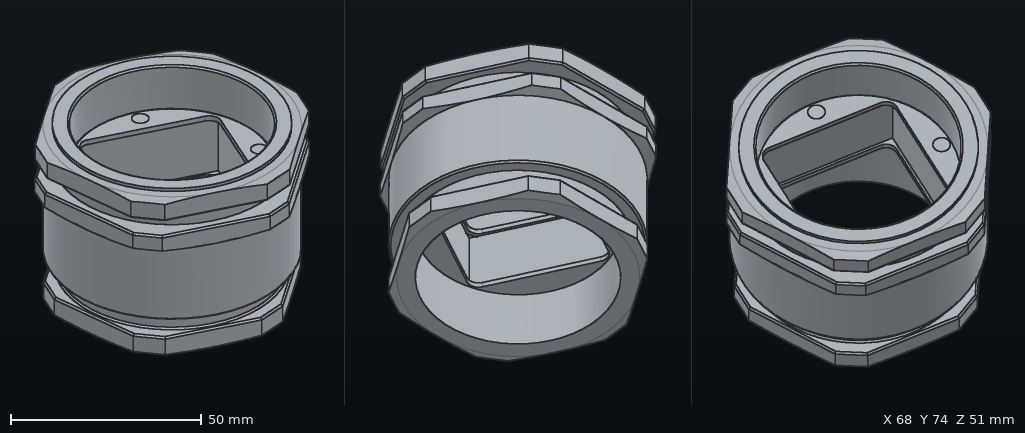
import cadquery as cq
import math


edge_chamfer = 0.5
bore_radius = 27.0
socket_radius = 30.5
pocket_radius = 27.5

cap_across_flats = 64.0
cap_corner_width = 69.0
cap_hex_height = 6.0
cap_cone_drop = 0.5

body_across_flats = 68.0
flange_corner_width = 74.0
sleeve_radius = body_across_flats / 2
sleeve_bottom = 11.0
flange_bottom = 34.0
flange_top = 39.5
flange_cone_drop = 0.9
pocket_top = 37.5
thread_radius = 31.5
body_top = 51.0

nut_corner_width = 73.3
nut_bottom = 44.05
nut_top = 50.05
nut_cone_drop = 0.6

plate_thickness = 1.5
lower_plate_bottom = 17.0
lower_plate_top = lower_plate_bottom + plate_thickness
upper_plate_top = 37.0
upper_plate_bottom = upper_plate_top - plate_thickness
plate_opening = 39.2
plate_corner_radius = 3.2
seal_opening = 40.7
stud_radius = 2.3
stud_circle_radius = 24.5
stud_count = 4


def cylinder(radius, bottom, top):
    """Upright cylinder between two heights."""
    return cq.Workplane("XY").workplane(offset=bottom).circle(radius).extrude(top - bottom)


def square_prism(side, bottom, top):
    """Upright square prism between two heights."""
    return cq.Workplane("XY").workplane(offset=bottom).rect(side, side).extrude(top - bottom)


def hexagon(across_flats, bottom, top):
    """Hex prism with two flats facing +X and -X, so two corners lie on the Y axis."""
    corner_diameter = across_flats / math.cos(math.pi / 6)
    outline = cq.Workplane("XY").workplane(offset=bottom).transformed(rotate=(0, 0, 90))
    return outline.polygon(6, corner_diameter).extrude(top - bottom)


def cut_corner_hex(across_flats, corner_width, bottom, top):
    """Hex prism whose six corners are cut off by a second, turned hex."""
    corner_cutter = hexagon(corner_width, bottom, top).rotate((0, 0, 0), (0, 0, 1), 30)
    return hexagon(across_flats, bottom, top).intersect(corner_cutter)


def trim_rim(hex_solid, across_flats, corner_width, rim_z, body_z, drop):
    """Turn a shallow cone on the hex face at rim_z.

    The cone starts at the flats and falls by drop, towards body_z, at the corner flats.
    """
    inward = math.copysign(1, body_z - rim_z)
    start_radius = across_flats / 2
    slope = inward * drop / ((corner_width - across_flats) / 2)
    outside_radius = corner_width
    cone_edge_z = rim_z + slope * (outside_radius - start_radius)
    cutter = (
        cq.Workplane("XZ")
        .moveTo(start_radius, rim_z)
        .lineTo(outside_radius, rim_z)
        .lineTo(outside_radius, cone_edge_z)
        .close()
        .revolve(360, (0, 0, 0), (0, 1, 0))
    )
    return hex_solid.cut(cutter)


def make_neck_foot():
    """Cone that widens the cap neck where it meets the hex."""
    foot_radius = socket_radius + edge_chamfer
    foot_top = cap_hex_height + edge_chamfer
    return (
        cq.Workplane("XZ")
        .moveTo(bore_radius, cap_hex_height)
        .lineTo(foot_radius, cap_hex_height)
        .lineTo(socket_radius, foot_top)
        .lineTo(bore_radius, foot_top)
        .close()
        .revolve(360, (0, 0, 0), (0, 1, 0))
    )


def make_cap_nut():
    """Hex cap with a neck that reaches up to the lower clamp plate."""
    cap = cut_corner_hex(cap_across_flats, cap_corner_width, 0, cap_hex_height)
    cap = cap.faces(">Z").chamfer(edge_chamfer)
    cap = trim_rim(cap, cap_across_flats, cap_corner_width, 0, cap_hex_height, cap_cone_drop)
    cap = cap.union(cylinder(socket_radius, cap_hex_height, lower_plate_bottom))
    cap = cap.union(make_neck_foot())
    return cap.cut(cylinder(bore_radius, 0, lower_plate_bottom))


def make_gland_body():
    """Round sleeve, hex flange and threaded tube, with a bore stepped for the cap neck and the insert."""
    sleeve = cylinder(sleeve_radius, sleeve_bottom, flange_bottom)
    sleeve = sleeve.faces("<Z").chamfer(edge_chamfer)
    flange = cut_corner_hex(body_across_flats, flange_corner_width, flange_bottom, flange_top)
    flange = flange.faces(">Z").chamfer(edge_chamfer)
    flange = trim_rim(
        flange, body_across_flats, flange_corner_width, flange_bottom, flange_top, flange_cone_drop
    )
    tube = cylinder(thread_radius, flange_top, body_top)
    body = sleeve.union(flange).union(tube)
    body = body.cut(cylinder(socket_radius, sleeve_bottom, upper_plate_bottom))
    body = body.cut(cylinder(pocket_radius, upper_plate_bottom, pocket_top))
    body = body.cut(cylinder(bore_radius, pocket_top, body_top))
    bore_mouth = cq.selectors.RadiusNthSelector(0)
    return body.faces(">Z").edges(bore_mouth).chamfer(edge_chamfer)


def make_lock_nut():
    """Hex nut around the threaded tube."""
    nut = cut_corner_hex(body_across_flats, nut_corner_width, nut_bottom, nut_top)
    nut = nut.faces("<Z").chamfer(edge_chamfer)
    nut = trim_rim(nut, body_across_flats, nut_corner_width, nut_top, nut_bottom, nut_cone_drop)
    return nut.cut(cylinder(thread_radius, nut_bottom, nut_top))


def make_studs():
    """Round studs, evenly spaced, passing through the upper clamp plate."""
    return (
        cq.Workplane("XY")
        .workplane(offset=upper_plate_bottom)
        .polarArray(stud_circle_radius, 0, 360, stud_count)
        .circle(stud_radius)
        .extrude(plate_thickness)
    )


def make_clamp_plate(radius, bottom):
    """Round plate with a rounded square opening."""
    top = bottom + plate_thickness
    opening = square_prism(plate_opening, bottom, top).edges("|Z").fillet(plate_corner_radius)
    return cylinder(radius, bottom, top).cut(opening)


def make_seal_block():
    """Round block with a square passage and studs standing on its top face."""
    block = cylinder(socket_radius, lower_plate_top, upper_plate_bottom)
    block = block.cut(square_prism(seal_opening, lower_plate_top, upper_plate_bottom))
    return block.union(make_studs())


cap_nut = make_cap_nut()
gland_body = make_gland_body()
lock_nut = make_lock_nut()
lower_plate = make_clamp_plate(socket_radius, lower_plate_bottom)
upper_plate = make_clamp_plate(pocket_radius, upper_plate_bottom).cut(make_studs())
seal_block = make_seal_block()

result = cq.Compound.makeCompound([
    cap_nut.val(),
    gland_body.val(),
    lock_nut.val(),
    lower_plate.val(),
    seal_block.val(),
    upper_plate.val(),
])